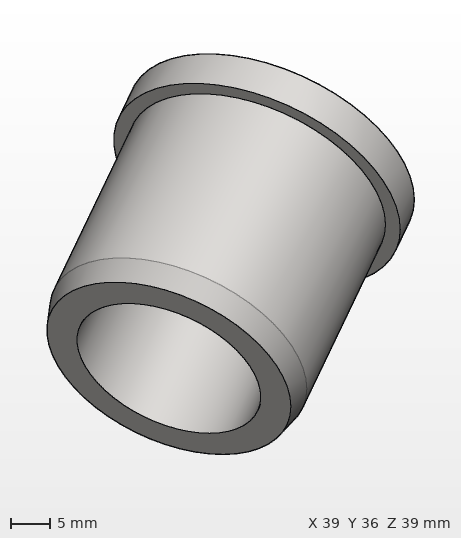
import cadquery as cq
import math

flange_diameter = 39.0
body_diameter = 35.0
bore_diameter = 25.0
total_length = 36.0
flange_thickness = 5.0
taper_length = 3.3
taper_angle = 15.0

flange_radius = flange_diameter / 2
body_radius = body_diameter / 2
bore_radius = bore_diameter / 2
tip_radius = body_radius - taper_length * math.tan(math.radians(taper_angle))
flange_start = total_length - flange_thickness

wall_section = (
    cq.Workplane("XY")
    .moveTo(bore_radius, 0)
    .lineTo(tip_radius, 0)
    .lineTo(body_radius, taper_length)
    .lineTo(body_radius, flange_start)
    .lineTo(flange_radius, flange_start)
    .lineTo(flange_radius, total_length)
    .lineTo(bore_radius, total_length)
    .close()
)

result = wall_section.revolve(360, (0, 0, 0), (0, 1, 0))